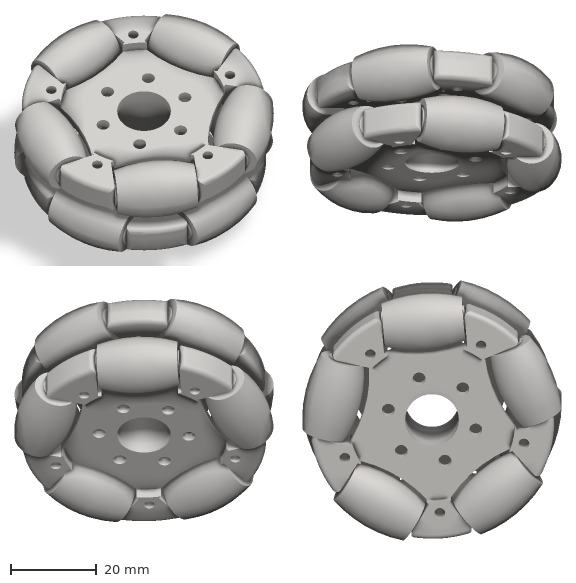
import cadquery as cq
import math

WHEEL_RADIUS = 30.2
WHEEL_SPACING = 12.85
ROLLERS_PER_WHEEL = 5
PITCH_ANGLE = 360.0 / ROLLERS_PER_WHEEL
UPPER_ROLLER_ANGLE = -90.0
LOWER_ROLLER_ANGLE = UPPER_ROLLER_ANGLE + PITCH_ANGLE / 2

ROLLER_AXIS_DISTANCE = 23.6
ROLLER_HALF_LENGTH = 9.35
SPACER_DIAMETER = 6.3
END_GAP = 0.35
CROWN_GAP = 1.2

PLATE_THICKNESS = 2.25
BLOCK_HEIGHT = 7.25
BLOCK_OUTER_RADIUS = 28.45
BLOCK_INNER_RADIUS = 19.35
BLOCK_FILLET = 1.2
BLOCK_HOLE_DIAMETER = 2.5
BLOCK_HOLE_DISTANCE = 22.0

POCKET_HALF_WIDTH = ROLLER_HALF_LENGTH + END_GAP
POCKET_ARC_RADIUS = WHEEL_RADIUS + CROWN_GAP
POCKET_ARC_CENTER = 2 * ROLLER_AXIS_DISTANCE

HUB_DIAMETER = 15.0
BORE_DIAMETER = 12.5
BOLT_HOLE_DIAMETER = 3.0
BOLT_CIRCLE_RADIUS = 10.45
BOLT_COUNT = 6
FIRST_BOLT_ANGLE = 90.0


def cylinder(diameter, height):
    """A cylinder along Z, centred on the origin."""
    return cq.Workplane("XY").circle(diameter / 2).extrude(height / 2, both=True)


def around_axis(shape, count, start_angle):
    """Equally spaced copies about Z of a shape placed on +X."""
    combined = cq.Workplane("XY")
    for i in range(count):
        angle = start_angle + i * 360.0 / count
        combined = combined.add(shape.rotate((0, 0, 0), (0, 0, 1), angle))
    return combined.combine()


def roller():
    """A barrel on +X with its axis along Y; its outline follows the rolling circle."""
    end_x = math.sqrt(WHEEL_RADIUS**2 - ROLLER_HALF_LENGTH**2)
    barrel = (
        cq.Workplane("XY")
        .moveTo(ROLLER_AXIS_DISTANCE, -ROLLER_HALF_LENGTH)
        .lineTo(end_x, -ROLLER_HALF_LENGTH)
        .threePointArc((WHEEL_RADIUS, 0), (end_x, ROLLER_HALF_LENGTH))
        .lineTo(ROLLER_AXIS_DISTANCE, ROLLER_HALF_LENGTH)
        .close()
        .revolve(360, (ROLLER_AXIS_DISTANCE, -0.6, 0), (ROLLER_AXIS_DISTANCE, 0.6, 0))
    )
    spacers = (
        cq.Workplane("XZ")
        .center(ROLLER_AXIS_DISTANCE, 0)
        .circle(SPACER_DIAMETER / 2)
        .extrude(POCKET_HALF_WIDTH, both=True)
    )
    return barrel.union(spacers)


def roller_pocket():
    """Clearance around one roller: straight ends and a curved inner wall."""
    arc_disc = cylinder(2 * POCKET_ARC_RADIUS, BLOCK_HEIGHT).translate((POCKET_ARC_CENTER, 0, 0))
    band = cq.Workplane("XY").box(
        2 * WHEEL_RADIUS, 2 * POCKET_HALF_WIDTH, BLOCK_HEIGHT, centered=(False, True, True)
    )
    return arc_disc.intersect(band)


def block():
    """One block on +X, between two roller pockets, rounded around its outer face."""
    ring = cylinder(2 * BLOCK_OUTER_RADIUS, BLOCK_HEIGHT).cut(
        cylinder(2 * BLOCK_INNER_RADIUS, BLOCK_HEIGHT)
    )
    sector = cq.Workplane("XY").box(
        WHEEL_RADIUS, WHEEL_RADIUS, BLOCK_HEIGHT, centered=(False, True, True)
    )
    blank = ring.intersect(sector)
    for side in (-1, 1):
        blank = blank.cut(roller_pocket().rotate((0, 0, 0), (0, 0, 1), side * PITCH_ANGLE / 2))
    outer_point = (BLOCK_OUTER_RADIUS, 0, 0)
    rounded = blank.faces(cq.selectors.NearestToPointSelector(outer_point)).edges().fillet(BLOCK_FILLET)
    hole = cylinder(BLOCK_HOLE_DIAMETER, BLOCK_HEIGHT).translate((BLOCK_HOLE_DISTANCE, 0, 0))
    return rounded.cut(hole)


def wheel(roller_angle):
    """A complete wheel centred on the origin."""
    pockets = around_axis(roller_pocket(), ROLLERS_PER_WHEEL, 0)
    blocks = around_axis(block(), ROLLERS_PER_WHEEL, PITCH_ANGLE / 2)
    rollers = around_axis(roller(), ROLLERS_PER_WHEEL, 0)
    plate = cylinder(2 * BLOCK_INNER_RADIUS, PLATE_THICKNESS).cut(pockets)
    assembled = plate.union(blocks).union(rollers)
    return assembled.rotate((0, 0, 0), (0, 0, 1), roller_angle)


def through_holes():
    """The central bore and the ring of bolt holes, through both wheels."""
    depth = WHEEL_SPACING + PLATE_THICKNESS
    bolt_hole = cylinder(BOLT_HOLE_DIAMETER, depth).translate((BOLT_CIRCLE_RADIUS, 0, 0))
    bolt_holes = around_axis(bolt_hole, BOLT_COUNT, FIRST_BOLT_ANGLE)
    return bolt_holes.add(cylinder(BORE_DIAMETER, depth)).combine()


upper_wheel = wheel(UPPER_ROLLER_ANGLE).translate((0, 0, WHEEL_SPACING / 2))
lower_wheel = wheel(LOWER_ROLLER_ANGLE).translate((0, 0, -WHEEL_SPACING / 2))
hub = cylinder(HUB_DIAMETER, WHEEL_SPACING)
result = upper_wheel.union(hub).union(lower_wheel).cut(through_holes())